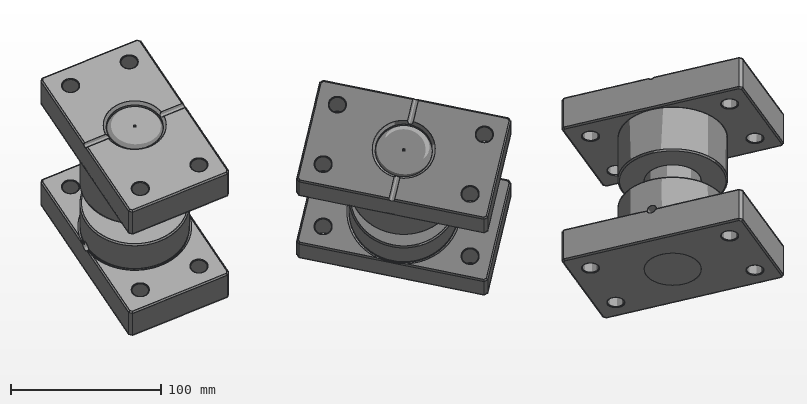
import cadquery as cq

PLATE_LENGTH = 130.0
PLATE_WIDTH = 75.0
PLATE_THICKNESS = 25.0
TOTAL_HEIGHT = 131.0
CORNER_CHAMFER = 2.0
EDGE_CHAMFER = 1.0
UPPER_PLATE_BASE = TOTAL_HEIGHT - PLATE_THICKNESS

HOLE_DIAMETER = 11.0
HOLE_CHAMFER = 0.5
HOLE_SPACING_X = 100.1
HOLE_SPACING_Y = 44.0

BOSS_DIAMETER = 73.0
BOSS_CHAMFER = 1.0
LOWER_BOSS_HEIGHT = 25.0
UPPER_BOSS_HEIGHT = 35.0
UPPER_BOSS_FOOT_CHAMFER = 0.5
RELIEF_DIAMETER = 75.7
RELIEF_DEPTH = 1.6

PIN_DIAMETER = 38.0
PIN_RECESS = 0.8
PIN_END_RADIUS = 4.3
CENTRE_HOLE_DIAMETER = 1.6
CENTRE_HOLE_DEPTH = 2.6

UPPER_BORE_CHAMFER = 2.0
LOWER_BORE_CHAMFER = 0.5
GROOVE_WIDTH = 3.9
GROOVE_DEPTH = 1.7
CROSS_HOLE_DIAMETER = 6.5


def plate(base):
    """Plate with chamfered edges and four through holes, its underside at height base."""
    body = (
        cq.Workplane("XY", origin=(0, 0, base))
        .rect(PLATE_LENGTH, PLATE_WIDTH)
        .extrude(PLATE_THICKNESS)
        .edges("|Z")
        .chamfer(CORNER_CHAMFER)
        .faces("<Z or >Z")
        .edges()
        .chamfer(EDGE_CHAMFER)
    )
    drilled = (
        body.faces(">Z")
        .workplane(origin=(0, 0, 0))
        .rect(HOLE_SPACING_X, HOLE_SPACING_Y, forConstruction=True)
        .vertices()
        .hole(HOLE_DIAMETER)
    )
    return drilled.faces("<Z or >Z").edges("%CIRCLE").chamfer(HOLE_CHAMFER)


def cylinder(diameter, base, height):
    """Upright cylinder on the pin axis."""
    return cq.Workplane("XY", origin=(0, 0, base)).circle(diameter / 2).extrude(height)


def bore_countersink(top, size):
    """Cone that chamfers the upper rim of a pin bore ending at height top."""
    small_radius = PIN_DIAMETER / 2
    cone_base = cq.Vector(0, 0, top - size)
    return cq.Workplane(cq.Solid.makeCone(small_radius, small_radius + size, size, pnt=cone_base))


def make_lower_housing():
    """Lower plate with its boss, ring relief, pin bore and cross hole."""
    relief_inner_radius = RELIEF_DIAMETER / 2 - RELIEF_DEPTH
    relief = (
        cq.Workplane("XZ")
        .moveTo(relief_inner_radius, PLATE_THICKNESS - RELIEF_DEPTH)
        .lineTo(RELIEF_DIAMETER / 2, PLATE_THICKNESS)
        .lineTo(relief_inner_radius, PLATE_THICKNESS)
        .close()
        .revolve(360, (0, 0), (0, 1))
    )

    boss = cylinder(BOSS_DIAMETER, PLATE_THICKNESS, LOWER_BOSS_HEIGHT)
    boss = boss.faces(">Z").edges().chamfer(BOSS_CHAMFER)
    boss_top = PLATE_THICKNESS + LOWER_BOSS_HEIGHT
    bore = cylinder(PIN_DIAMETER, 0, boss_top)
    countersink = bore_countersink(boss_top, LOWER_BORE_CHAMFER)

    cross_hole = (
        cq.Workplane("XZ", origin=(0, 0, PLATE_THICKNESS))
        .circle(CROSS_HOLE_DIAMETER / 2)
        .extrude(PLATE_WIDTH / 2)
    )

    return plate(0).cut(relief).union(boss).cut(bore).cut(countersink).cut(cross_hole)


def make_upper_housing():
    """Upper plate with its hanging boss, chamfered pin bore and top groove."""
    boss_base = UPPER_PLATE_BASE - UPPER_BOSS_HEIGHT
    boss = cylinder(BOSS_DIAMETER, boss_base, UPPER_BOSS_HEIGHT)
    boss = boss.faces("<Z").edges().chamfer(BOSS_CHAMFER)
    boss = boss.faces(">Z").edges().chamfer(UPPER_BOSS_FOOT_CHAMFER)
    bore = cylinder(PIN_DIAMETER, boss_base, TOTAL_HEIGHT - boss_base)
    countersink = bore_countersink(TOTAL_HEIGHT, UPPER_BORE_CHAMFER)

    groove = (
        cq.Workplane("XZ", origin=(0, PLATE_WIDTH / 2, TOTAL_HEIGHT))
        .moveTo(-GROOVE_WIDTH / 2, 0)
        .threePointArc((0, -GROOVE_DEPTH), (GROOVE_WIDTH / 2, 0))
        .close()
        .extrude(PLATE_WIDTH)
    )

    return plate(UPPER_PLATE_BASE).union(boss).cut(bore).cut(countersink).cut(groove)


def make_pin():
    """Guide pin with a rounded top end and a small centre hole."""
    return (
        cylinder(PIN_DIAMETER, 0, TOTAL_HEIGHT - PIN_RECESS)
        .faces(">Z")
        .edges()
        .fillet(PIN_END_RADIUS)
        .faces(">Z")
        .workplane()
        .hole(CENTRE_HOLE_DIAMETER, CENTRE_HOLE_DEPTH)
    )


lower_housing = make_lower_housing()
upper_housing = make_upper_housing()
pin = make_pin()

result = cq.Compound.makeCompound([lower_housing.val(), upper_housing.val(), pin.val()])